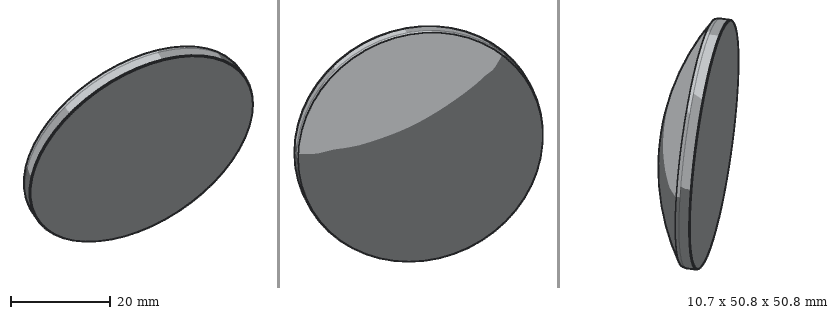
import cadquery as cq
import math

diameter = 50.8
thickness = 10.65
dome_sag = 7.6
front_bevel_depth = 0.2
front_bevel_length = 0.75
back_chamfer = 0.2

rim_radius = diameter / 2
dome_edge_radius = rim_radius - front_bevel_depth
sphere_radius = (dome_edge_radius**2 + dome_sag**2) / (2 * dome_sag)

mid_radius = dome_edge_radius / 2
mid_sag = sphere_radius - math.sqrt(sphere_radius**2 - mid_radius**2)


def lens_half_profile():
    """Closed half section in the XY plane, from the axis out to the rim."""
    return (
        cq.Workplane("XY")
        .threePointArc((mid_sag, mid_radius), (dome_sag, dome_edge_radius))
        .lineTo(dome_sag + front_bevel_length, rim_radius)
        .lineTo(thickness - back_chamfer, rim_radius)
        .lineTo(thickness, rim_radius - back_chamfer)
        .lineTo(thickness, 0)
        .close()
    )


result = lens_half_profile().revolve(360, (0, 0, 0), (1, 0, 0))